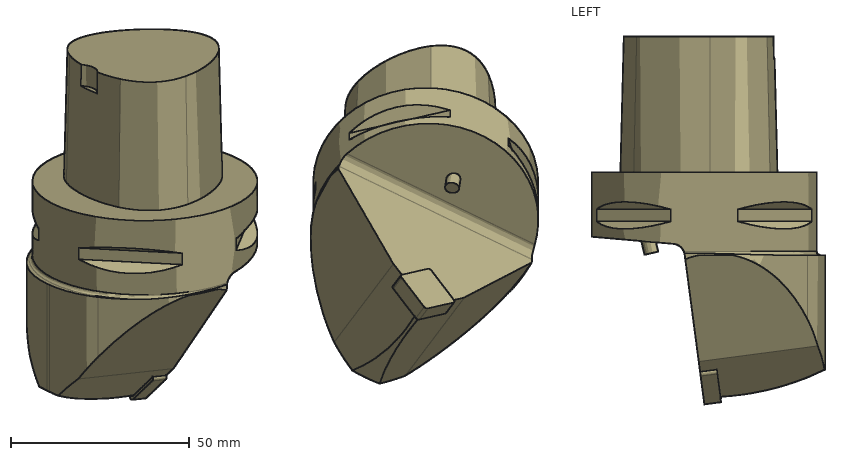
import cadquery as cq
import math


shank_height = 38.0
lobe_mean_radius = 22.0
lobe_eccentricity = 1.5
shank_taper = 1 / 40
lobe_spans = 6
points_per_span = 9
first_lobe_angle = 90.0

notch_radius = 5.5
notch_depth = 6.3
notch_inner_y = -17.95

flange_radius = 31.5
flange_height = 22.2
shoulder_z = -23.2
shoulder_blend = -flange_height - shoulder_z

gripper_count = 4
gripper_z = -12.1
gripper_floor_distance = 27.9
gripper_floor_height = 3.4
gripper_side_angle = 30.0

blade_half_width = 31.645
blade_back_y = -33.85
back_flat_half_width = 0.57
back_radius = 28.5
back_arc_half_width = 16.7
side_arc_mid = (26.3, -18.75)
cutting_reach = 40.0

rake_angle = 7.5
tip_z = -65.0
tip_half_angle = 45.0
edge_clearance = 0.8
tip_flank_half_width = 11.4
upper_flank_angle = 34.5

relief_points = [(-4.74, -62.85), (-20.0, -60.4), (blade_back_y, -55.2)]

floor_angle = 5.0
floor_edge_z = -18.1
chip_fillet = 3.4

nozzle_diameter = 4.0
nozzle_angle = 13.0
nozzle_end = (14.8, -22.7)
nozzle_length = 8.0

insert_size = 12.7
insert_thickness = 4.76
nose_radius = 0.8

rake_sine = math.sin(math.radians(rake_angle))
rake_cosine = math.cos(math.radians(rake_angle))
tip_frame = cq.Plane(
    origin=(0, 0, tip_z),
    xDir=(1, 0, 0),
    normal=(0, -rake_cosine, rake_sine),
)
nose_setback = nose_radius * (math.sqrt(2) - 1)


def lobe_wire(radius, z):
    """Closed hypotrochoid with three lobes, made of equal spans."""
    start = math.radians(first_lobe_angle)
    span = 2 * math.pi / lobe_spans

    def point_at(angle):
        along = radius * math.cos(angle) + lobe_eccentricity * math.cos(2 * angle)
        across = radius * math.sin(angle) - lobe_eccentricity * math.sin(2 * angle)
        x = along * math.cos(start) - across * math.sin(start)
        y = along * math.sin(start) + across * math.cos(start)
        return cq.Vector(x, y, z)

    edges = []
    for i in range(lobe_spans):
        first = (i + 0.5) * span
        steps = [first + span * k / (points_per_span - 1) for k in range(points_per_span)]
        edges.append(cq.Edge.makeSpline([point_at(angle) for angle in steps]))
    return cq.Wire.assembleEdges(edges)


def make_shank():
    base = lobe_wire(lobe_mean_radius, 0)
    top = lobe_wire(lobe_mean_radius - shank_taper * shank_height, shank_height)
    shank = cq.Workplane(cq.Solid.makeLoft([base, top], True))
    notch = (
        cq.Workplane("XY", origin=(0, notch_inner_y - notch_radius, shank_height))
        .circle(notch_radius)
        .extrude(-notch_depth)
    )
    return shank.cut(notch)


def make_flange():
    flange = cq.Workplane("XY").circle(flange_radius).extrude(shoulder_z)
    depth = flange_radius - gripper_floor_distance
    flare = depth * math.tan(math.radians(gripper_side_angle))
    half_floor = gripper_floor_height / 2
    half_mouth = half_floor + flare
    gripper = (
        cq.Workplane("XZ", origin=(0, flange_radius, gripper_z))
        .moveTo(gripper_floor_distance, -half_floor)
        .lineTo(flange_radius, -half_mouth)
        .lineTo(flange_radius, half_mouth)
        .lineTo(gripper_floor_distance, half_floor)
        .close()
        .extrude(2 * flange_radius)
    )
    for i in range(gripper_count):
        angle = (i + 0.5) * 360 / gripper_count
        flange = flange.cut(gripper.rotate((0, 0, 0), (0, 0, 1), angle))
    return flange


def blade_outline(top_z, bottom_z):
    """Vertical prism with the blade's plan outline."""
    back_centre_y = blade_back_y + back_radius
    back_arc_run = back_arc_half_width - back_flat_half_width
    corner_y = back_centre_y - math.sqrt(back_radius**2 - back_arc_run**2)
    arc_mid_run = back_arc_run / 2
    arc_mid_y = back_centre_y - math.sqrt(back_radius**2 - arc_mid_run**2)
    arc_mid_x = back_flat_half_width + arc_mid_run
    side_x, side_y = side_arc_mid
    return (
        cq.Workplane("XY", origin=(0, 0, top_z))
        .moveTo(blade_half_width, 0)
        .threePointArc((side_x, side_y), (back_arc_half_width, corner_y))
        .threePointArc((arc_mid_x, arc_mid_y), (back_flat_half_width, blade_back_y))
        .lineTo(-back_flat_half_width, blade_back_y)
        .threePointArc((-arc_mid_x, arc_mid_y), (-back_arc_half_width, corner_y))
        .threePointArc((-side_x, side_y), (-blade_half_width, 0))
        .threePointArc((0, blade_half_width), (blade_half_width, 0))
        .close()
        .extrude(bottom_z - top_z)
    )


def make_shoulder_blend():
    """Concave blend from the flange's side down to the top of the blade."""
    outer = flange_radius + shoulder_blend
    bow = shoulder_blend * (1 - math.sqrt(0.5))
    ring = (
        cq.Workplane("XZ")
        .moveTo(0, -flange_height)
        .lineTo(flange_radius, -flange_height)
        .threePointArc((flange_radius + bow, shoulder_z + bow), (outer, shoulder_z))
        .lineTo(0, shoulder_z)
        .close()
        .revolve(360, (0, 0, 0), (0, 1, 0))
    )
    return ring.intersect(blade_outline(0, shoulder_z))


def make_blade():
    outline = blade_outline(shoulder_z, tip_z)

    apex = edge_clearance * math.sqrt(2) - nose_setback
    break_height = apex + tip_flank_half_width / math.tan(math.radians(tip_half_angle))
    upper_run = cutting_reach - tip_flank_half_width
    upper_height = break_height + upper_run / math.tan(math.radians(upper_flank_angle))
    top_height = upper_height + cutting_reach
    nose = edge_clearance / math.sqrt(2)
    flanks = (
        cq.Workplane(tip_frame)
        .moveTo(-nose, apex + nose)
        .threePointArc((0, apex + nose_setback), (nose, apex + nose))
        .lineTo(tip_flank_half_width, break_height)
        .lineTo(cutting_reach, upper_height)
        .lineTo(cutting_reach, top_height)
        .lineTo(-cutting_reach, top_height)
        .lineTo(-cutting_reach, upper_height)
        .lineTo(-tip_flank_half_width, break_height)
        .close()
        .extrude(cutting_reach, both=True)
    )

    nose_start, relief_mid, relief_end = relief_points
    relief = (
        cq.Workplane("YZ")
        .moveTo(*nose_start)
        .threePointArc(relief_mid, relief_end)
        .lineTo(-cutting_reach, relief_end[1])
        .lineTo(-cutting_reach, tip_z)
        .lineTo(nose_start[0], tip_z)
        .close()
        .extrude(cutting_reach, both=True)
    )
    return outline.intersect(flanks).cut(relief)


def make_chip_space():
    """Space in front of the rake face, with a rounded inner corner under the flange."""
    rake_slope = math.tan(math.radians(rake_angle))
    floor_slope = math.tan(math.radians(floor_angle))
    floor_at_axis = floor_edge_z - floor_slope * flange_radius
    corner_y = (floor_at_axis - tip_z) * rake_slope / (1 - rake_slope * floor_slope)
    corner_z = floor_at_axis + floor_slope * corner_y
    far_z = floor_at_axis + floor_slope * cutting_reach
    bottom_z = tip_z - cutting_reach
    return (
        cq.Workplane("YZ")
        .moveTo(corner_y, corner_z)
        .lineTo(cutting_reach, far_z)
        .lineTo(cutting_reach, bottom_z)
        .lineTo((bottom_z - tip_z) * rake_slope, bottom_z)
        .close()
        .extrude(cutting_reach, both=True)
        .edges(cq.selectors.NearestToPointSelector((0, corner_y, corner_z)))
        .fillet(chip_fillet)
    )


def make_nozzle():
    tilt = math.radians(nozzle_angle)
    frame = cq.Plane(
        origin=(0, *nozzle_end),
        xDir=(1, 0, 0),
        normal=(0, math.sin(tilt), math.cos(tilt)),
    )
    return cq.Workplane(frame).circle(nozzle_diameter / 2).extrude(nozzle_length)


def make_insert():
    """Square insert standing on one corner, its front flush with the rake face."""
    centre_height = insert_size / math.sqrt(2) - nose_setback
    return (
        cq.Workplane(tip_frame)
        .center(0, centre_height)
        .transformed(rotate=(0, 0, 45))
        .rect(insert_size, insert_size)
        .extrude(insert_thickness)
        .edges(cq.selectors.ParallelDirSelector(tip_frame.zDir))
        .fillet(nose_radius)
    )


insert = make_insert()
holder = (
    make_flange()
    .union(make_shank())
    .union(make_shoulder_blend())
    .union(make_blade())
    .cut(make_chip_space())
    .union(make_nozzle())
    .cut(insert)
)

result = cq.Compound.makeCompound([holder.val(), insert.val()])